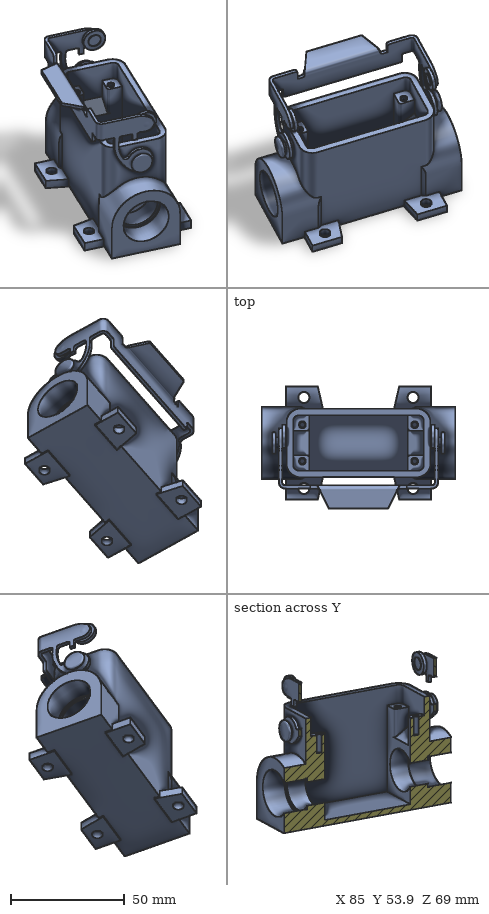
import cadquery as cq
import math

overall_length = 85.0
hood_length = 63.2
hood_width = 30.1
hood_height = 51.4
hood_corner_radius = 6.0
wall = 2.9
cavity_length = hood_length - 2 * wall
cavity_width = hood_width - 2 * wall
cavity_corner_radius = 2.55
floor_thickness = 2.9

post_top = 42.8
post_length = 7.1
post_width = 6.8
post_edge_radius = 1.2
post_hole_x = 24.65
post_hole_y = 8.0
post_hole_radius = 1.2
post_hole_mouth_radius = 1.5
post_hole_mouth_depth = 0.3
post_hole_depth = 8.5
chamber_length = cavity_length - 2 * post_length
ramp_foot = 29.75
ramp_angle = 32.0

entry_radius = 16.0
entry_arch_height = 16.6
entry_axis_height = 16.3
entry_inner_x = 25.5
entry_chamfer_length = 1.8
bore_radius = 10.5
bore_depth = 11.05
groove_radius = 10.7
groove_length = 0.7
lip_radius = 9.6

foot_outer_x = 31.9
foot_tip_inner_x = 17.85
foot_root_inner_x = 15.05
foot_tip_y = 24.9
foot_root_y = 12.6
foot_top = 3.4
foot_drop = 0.7
foot_hole_x = 24.0
foot_hole_y = 20.0
foot_hole_radius = 2.4

peg_height = 44.3
peg_radius = 2.55
peg_head_radius = 4.85
peg_head_inner_x = 36.4
peg_head_thickness = 1.5

sheet = 1.5
lever_outer_x = 35.0
lever_front_y = -20.1
lever_bend_radius = 2.8
lever_top = 68.3
band_bottom = 59.5

panel_bottom = 54.3
panel_lower_half_length = 28.1
panel_corner_radius = 0.8
notch_half_length = 21.25
notch_bottom = 63.4
notch_corner_radius = 1.4

flange_bend_start = 63.7
flange_bend_radius = 1.2
flange_tilt = 9.2
flange_length = 8.0
flange_root_half_length = 18.1
flange_flare_half_length = 19.4
flange_flare_radius = 1.9
flange_tip_half_length = 13.0
flange_tip_radius = 0.85

roller_y = 3.0
roller_height = 63.1
roller_radius = 5.1
roller_inner_x = 31.9
rivet_radius = 1.45
rivet_dome = 0.1
rivet_inner_radius = 2.9
rivet_inner_proud = 0.25
arm_end_radius = roller_height - band_bottom
arm_crown_y = -1.6
stub_front_y = -3.5
stub_back_y = -1.45
stub_bottom = 55.9
arm_fillet_radius = 1.1
match_tolerance = 0.01

eye_radius = 6.0
hanger_outer_radius = 19.4
hanger_width = 2.0
hanger_center_y = 7.3
hanger_notch_radius = 1.6


def mirrored_x(body):
    """The body together with its mirror image across X = 0."""
    return body.union(body.mirror("YZ"))


def rounded_block(length, width, radius, bottom, top):
    block = cq.Workplane("XY", origin=(0, 0, bottom)).rect(length, width).extrude(top - bottom)
    return block.edges("|Z").fillet(radius)


def cable_entry():
    """Arched block at the +X end, chamfered in plan where it runs into the hood."""
    arched = (
        cq.Workplane("YZ")
        .moveTo(-entry_radius, 0)
        .lineTo(entry_radius, 0)
        .lineTo(entry_radius, entry_arch_height)
        .threePointArc((0, entry_arch_height + entry_radius), (-entry_radius, entry_arch_height))
        .close()
        .extrude(overall_length / 2)
    )
    root_x = entry_inner_x - entry_chamfer_length
    plan = (
        cq.Workplane("XY")
        .polyline([
            (overall_length / 2, -entry_radius),
            (overall_length / 2, entry_radius),
            (entry_inner_x, entry_radius),
            (root_x, hood_width / 2),
            (root_x, -hood_width / 2),
            (entry_inner_x, -entry_radius),
        ])
        .close()
        .extrude(hood_height)
    )
    return arched.intersect(plan)


def entry_bore():
    """Hole of the +X cable entry: bore, end groove, and a lip opening into the chamber."""
    bore = (
        cq.Workplane("YZ", origin=(overall_length / 2 - bore_depth, 0, entry_axis_height))
        .circle(bore_radius)
        .extrude(bore_depth)
    )
    lip = cq.Workplane("YZ", origin=(0, 0, entry_axis_height)).circle(lip_radius).extrude(overall_length / 2)
    groove = (
        cq.Workplane("YZ", origin=(overall_length / 2 - bore_depth, 0, entry_axis_height))
        .circle(groove_radius)
        .extrude(-groove_length)
    )
    return bore.union(groove).union(lip)


def mounting_feet():
    """Front and rear foot at the +X end, tapering in plan."""
    foot = (
        cq.Workplane("XY", origin=(0, 0, -foot_drop))
        .polyline([
            (foot_outer_x, foot_root_y),
            (foot_outer_x, foot_tip_y),
            (foot_tip_inner_x, foot_tip_y),
            (foot_root_inner_x, foot_root_y),
        ])
        .close()
        .extrude(foot_drop + foot_top)
    )
    return foot.union(foot.mirror("XZ"))


def foot_holes():
    spots = [(x, y) for x in (-foot_hole_x, foot_hole_x) for y in (-foot_hole_y, foot_hole_y)]
    return (
        cq.Workplane("XY", origin=(0, 0, -foot_drop))
        .pushPoints(spots)
        .circle(foot_hole_radius)
        .extrude(foot_drop + foot_top)
    )


def chamber():
    """Inside of the housing: insert space, chamber, and a ramp between each pair of posts."""
    insert_space = rounded_block(cavity_length, cavity_width, cavity_corner_radius, post_top, hood_height)
    lower = cq.Workplane("XY", origin=(0, 0, floor_thickness)).rect(chamber_length, cavity_width)
    lower = lower.extrude(post_top - floor_thickness)

    ramp_head = ramp_foot + post_length * math.tan(math.radians(ramp_angle))
    gap_width = cavity_width - 2 * post_width
    gap = (
        cq.Workplane("XZ", origin=(0, gap_width / 2, 0))
        .polyline([
            (chamber_length / 2, ramp_foot),
            (cavity_length / 2, ramp_head),
            (cavity_length / 2, post_top),
            (-cavity_length / 2, post_top),
            (-cavity_length / 2, ramp_head),
            (-chamber_length / 2, ramp_foot),
        ])
        .close()
        .extrude(gap_width)
    )
    return insert_space.union(lower).union(gap)


def round_post_edges(housing):
    """Round the free vertical edge of every post."""
    edge_height = (ramp_foot + post_top) / 2
    edge_y = cavity_width / 2 - post_width
    for x in (-chamber_length / 2, chamber_length / 2):
        for y in (-edge_y, edge_y):
            edge = cq.selectors.NearestToPointSelector((x, y, edge_height))
            housing = housing.edges("|Z").edges(edge).fillet(post_edge_radius)
    return housing


def post_holes():
    """Insert screw holes with a widened mouth."""
    spots = [(x, y) for x in (-post_hole_x, post_hole_x) for y in (-post_hole_y, post_hole_y)]
    holes = cq.Workplane("XY", origin=(0, 0, post_top)).pushPoints(spots)
    mouths = holes.circle(post_hole_mouth_radius).extrude(-post_hole_mouth_depth)
    return holes.circle(post_hole_radius).extrude(-post_hole_depth).union(mouths)


def peg():
    """Pivot peg on the +X end wall with a round-rimmed disc head."""
    root_x = hood_length / 2 - wall / 2
    shank = (
        cq.Workplane("YZ", origin=(root_x, 0, peg_height))
        .circle(peg_radius)
        .extrude(peg_head_inner_x - root_x)
    )
    rim_radius = peg_head_thickness / 2
    rim_diagonal = rim_radius * math.sqrt(0.5)
    rim_x = peg_head_inner_x + rim_radius
    flat_radius = peg_head_radius - rim_radius
    head_outer_x = peg_head_inner_x + peg_head_thickness
    head = (
        cq.Workplane("XY", origin=(0, 0, peg_height))
        .moveTo(peg_head_inner_x, 0)
        .lineTo(peg_head_inner_x, flat_radius)
        .threePointArc((rim_x - rim_diagonal, flat_radius + rim_diagonal), (rim_x, peg_head_radius))
        .threePointArc((rim_x + rim_diagonal, flat_radius + rim_diagonal), (head_outer_x, flat_radius))
        .lineTo(head_outer_x, 0)
        .close()
        .revolve(360, (0, 0, 0), (1, 0, 0))
    )
    return shank.union(head)


def make_housing():
    housing = rounded_block(hood_length, hood_width, hood_corner_radius, 0, hood_height)
    housing = housing.union(mirrored_x(cable_entry()))
    housing = housing.union(mirrored_x(mounting_feet()))
    housing = housing.cut(chamber())
    housing = round_post_edges(housing)
    housing = housing.cut(mirrored_x(entry_bore()))
    housing = housing.cut(foot_holes())
    housing = housing.cut(post_holes())
    return housing.union(mirrored_x(peg()))


def bent_band():
    """U-shaped strip around the front and both ends, with the deeper front panel."""
    depth = roller_y - lever_front_y
    inner_radius = lever_bend_radius - sheet
    center_y = lever_front_y + depth / 2
    height = lever_top - panel_bottom
    outer = (
        cq.Workplane("XY", origin=(0, center_y, panel_bottom))
        .rect(2 * lever_outer_x, depth)
        .extrude(height)
        .edges("|Z and <Y")
        .fillet(lever_bend_radius)
    )
    inner = (
        cq.Workplane("XY", origin=(0, center_y + sheet, panel_bottom))
        .rect(2 * (lever_outer_x - sheet), depth)
        .extrude(height)
        .edges("|Z and <Y")
        .fillet(inner_radius)
    )
    return outer.cut(inner).intersect(panel_outline())


def panel_outline():
    """Front outline of the lever as a block that spans its whole depth."""
    depth = roller_y - lever_front_y
    upper = (
        cq.Workplane("XZ", origin=(0, roller_y, 0))
        .moveTo(0, (band_bottom + lever_top) / 2)
        .rect(2 * lever_outer_x, lever_top - band_bottom)
        .extrude(depth)
    )
    notch = (
        cq.Workplane("XZ", origin=(0, roller_y, 0))
        .moveTo(0, (notch_bottom + lever_top) / 2)
        .rect(2 * notch_half_length, lever_top - notch_bottom)
        .extrude(depth)
    )
    lower = (
        cq.Workplane("XZ", origin=(0, roller_y, 0))
        .moveTo(0, (panel_bottom + band_bottom) / 2)
        .rect(2 * panel_lower_half_length, band_bottom - panel_bottom)
        .extrude(depth)
        .edges("|Y and <Z")
        .fillet(panel_corner_radius)
    )
    outline = upper.cut(notch).union(lower)
    for side in (-1, 1):
        step_point = (side * panel_lower_half_length, roller_y - depth / 2, band_bottom)
        step = cq.selectors.NearestToPointSelector(step_point)
        outline = outline.edges("|Y").edges(step).fillet(panel_corner_radius)
        shoulder_point = (side * notch_half_length, roller_y - depth / 2, lever_top)
        shoulder = cq.selectors.NearestToPointSelector(shoulder_point)
        outline = outline.edges("|Y").edges(shoulder).fillet(notch_corner_radius)
    return outline


def thumb_flange():
    """Tapered flange bent forward and slightly upward from the front panel."""
    tilt = math.radians(flange_tilt)
    bend_y = lever_front_y - flange_bend_radius
    outer_bend = flange_bend_radius + sheet

    def on_bend(radius, angle):
        return (bend_y + radius * math.cos(angle), flange_bend_start + radius * math.sin(angle))

    def along_flange(point):
        return (point[0] - flange_length * math.cos(tilt), point[1] + flange_length * math.sin(tilt))

    bend_end = math.pi / 2 - tilt
    under = on_bend(flange_bend_radius, bend_end)
    over = on_bend(outer_bend, bend_end)
    strip = (
        cq.Workplane("YZ", origin=(-flange_flare_half_length, 0, 0))
        .moveTo(lever_front_y + sheet, notch_bottom - sheet)
        .lineTo(*on_bend(outer_bend, 0))
        .threePointArc(on_bend(outer_bend, bend_end / 2), over)
        .lineTo(*along_flange(over))
        .lineTo(*along_flange(under))
        .lineTo(*under)
        .threePointArc(on_bend(flange_bend_radius, bend_end / 2), on_bend(flange_bend_radius, 0))
        .lineTo(lever_front_y, notch_bottom - sheet)
        .close()
        .extrude(2 * flange_flare_half_length)
    )
    tip_y = along_flange(under)[0]
    plan = (
        cq.Workplane("XY", origin=(0, 0, notch_bottom - sheet))
        .polyline([
            (-flange_root_half_length, lever_front_y + sheet),
            (-flange_tip_half_length, tip_y),
            (flange_tip_half_length, tip_y),
            (flange_root_half_length, lever_front_y + sheet),
        ])
        .close()
        .extrude(lever_top - notch_bottom + sheet)
        .edges("|Z and <Y")
        .fillet(flange_tip_radius)
    )
    return strip.intersect(plan).union(strip.intersect(flange_flare()))


def flange_flare():
    """Block whose sides curve in from the notch floor to the root of the flange."""
    narrow_x = flange_flare_half_length - flange_flare_radius
    flare_top = notch_bottom + flange_flare_radius
    mid_offset = flange_flare_radius * (1 - math.sqrt(0.5))
    mid_x = narrow_x + mid_offset
    mid_z = notch_bottom + mid_offset
    return (
        cq.Workplane("XZ", origin=(0, lever_front_y + sheet, 0))
        .moveTo(-flange_flare_half_length, notch_bottom)
        .lineTo(flange_flare_half_length, notch_bottom)
        .threePointArc((mid_x, mid_z), (narrow_x, flare_top))
        .lineTo(-narrow_x, flare_top)
        .threePointArc((-mid_x, mid_z), (-flange_flare_half_length, notch_bottom))
        .close()
        .extrude(sheet + flange_bend_radius / 2)
    )


def polar(center, radius, angle):
    return (center[0] + radius * math.cos(angle), center[1] + radius * math.sin(angle))


def direction(start, end):
    return math.atan2(end[1] - start[1], end[0] - start[0])


def arm_plate():
    """Straight part of the +X arm, with the crowned round end at the roller."""
    rise = lever_top - roller_height
    run = roller_y - arm_crown_y
    crown_radius = (run**2 + rise**2 - arm_end_radius**2) / (2 * (rise - arm_end_radius))
    crown_center = (arm_crown_y, lever_top - crown_radius)
    roller_axis = (roller_y, roller_height)
    meet_angle = direction(crown_center, roller_axis)
    front_y = lever_front_y + lever_bend_radius
    return (
        cq.Workplane("YZ", origin=(lever_outer_x - sheet, 0, 0))
        .moveTo(front_y, band_bottom)
        .lineTo(front_y, lever_top)
        .lineTo(arm_crown_y, lever_top)
        .threePointArc(
            polar(crown_center, crown_radius, (math.pi / 2 + meet_angle) / 2),
            polar(roller_axis, arm_end_radius, meet_angle),
        )
        .threePointArc(polar(roller_axis, arm_end_radius, 0), (roller_y, band_bottom))
        .close()
        .extrude(sheet)
    )


def hanger():
    """Curved strip of the +X arm that ends in the eye around the peg."""
    inner_radius = hanger_outer_radius - hanger_width
    eye = (0, peg_height)
    center_rise = math.sqrt((hanger_outer_radius - eye_radius) ** 2 - hanger_center_y**2)
    center = (hanger_center_y, peg_height + center_rise)
    eye_meet = direction(center, eye)

    eye_to_notch = eye_radius + hanger_notch_radius
    center_to_notch = inner_radius - hanger_notch_radius
    span = math.dist(eye, center)
    turn = math.acos((span**2 + eye_to_notch**2 - center_to_notch**2) / (2 * span * eye_to_notch))
    notch = polar(eye, eye_to_notch, direction(eye, center) + turn)
    notch_on_eye = direction(notch, eye)
    notch_on_inner = direction(center, notch)

    outer_top = math.pi - math.asin((band_bottom - center[1]) / hanger_outer_radius)
    inner_top = math.pi - math.asin((band_bottom - center[1]) / inner_radius)
    inner_end = notch_on_inner + 2 * math.pi
    outer_end = eye_meet + 2 * math.pi
    return (
        cq.Workplane("YZ", origin=(lever_outer_x - sheet, 0, 0))
        .moveTo(*polar(center, hanger_outer_radius, outer_top))
        .threePointArc(
            polar(center, hanger_outer_radius, (outer_top + outer_end) / 2),
            polar(center, hanger_outer_radius, outer_end),
        )
        .threePointArc(polar(eye, eye_radius, 0), polar(eye, eye_radius, notch_on_eye + math.pi))
        .threePointArc(
            polar(notch, hanger_notch_radius, -math.pi / 2),
            polar(center, inner_radius, notch_on_inner),
        )
        .threePointArc(
            polar(center, inner_radius, (inner_top + inner_end) / 2),
            polar(center, inner_radius, inner_top),
        )
        .close()
        .extrude(sheet)
    )


def arm():
    """Whole +X arm with its stub, hanger and fillets, and the hole for the peg."""
    stub = (
        cq.Workplane("YZ", origin=(lever_outer_x - sheet, 0, 0))
        .moveTo((stub_front_y + stub_back_y) / 2, (stub_bottom + band_bottom) / 2)
        .rect(stub_back_y - stub_front_y, band_bottom - stub_bottom)
        .extrude(sheet)
    )
    body = arm_plate().union(stub).union(hanger())
    plate_front_y = lever_front_y + lever_bend_radius
    at_band_bottom = [e for e in body.edges("|X").vals() if abs(e.Center().z - band_bottom) < match_tolerance]
    corners = [
        e for e in at_band_bottom
        if plate_front_y + match_tolerance < e.Center().y < roller_y - match_tolerance
    ]
    body = body.newObject(corners).fillet(arm_fillet_radius)
    peg_hole = cq.Workplane("YZ", origin=(0, 0, peg_height)).circle(peg_radius).extrude(overall_length / 2)
    return body.cut(peg_hole)


def roller():
    """Roller on the inner face of the +X arm, with its rivet showing on both sides."""
    profile = (
        cq.Workplane("XY", origin=(0, roller_y, roller_height))
        .moveTo(roller_inner_x - rivet_inner_proud, 0)
        .lineTo(roller_inner_x - rivet_inner_proud, rivet_inner_radius)
        .lineTo(roller_inner_x, rivet_inner_radius)
        .lineTo(roller_inner_x, roller_radius)
        .lineTo(lever_outer_x - sheet, roller_radius)
        .lineTo(lever_outer_x - sheet, rivet_radius)
        .lineTo(lever_outer_x, rivet_radius)
        .lineTo(lever_outer_x + rivet_dome, 0)
        .close()
    )
    return profile.revolve(360, (0, 0, 0), (1, 0, 0))


def make_lever():
    arm_front_y = lever_front_y + lever_bend_radius
    front = bent_band().intersect(
        cq.Workplane("XY", origin=(0, arm_front_y - overall_length / 2, 0))
        .rect(overall_length, overall_length)
        .extrude(lever_top)
    )
    return front.union(thumb_flange()).union(mirrored_x(arm().union(roller())))


housing = make_housing()
lever = make_lever()
result = cq.Compound.makeCompound([housing.val(), lever.val()])